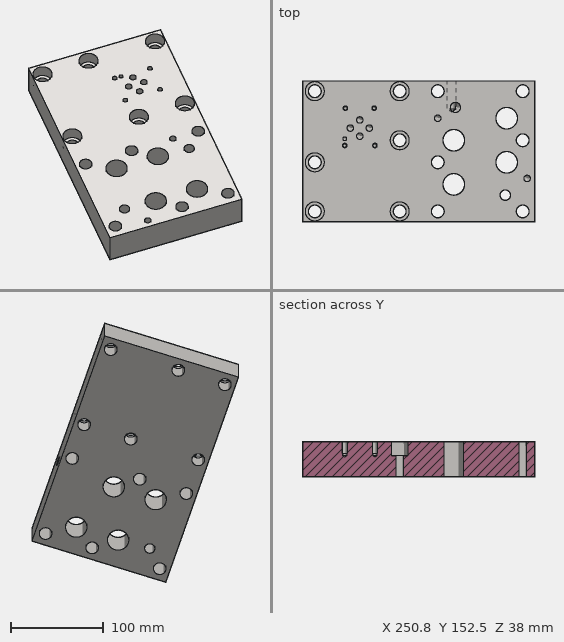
import cadquery as cq
import math

plate_length = 250.8
plate_width = 152.5
plate_height = 38.0

bolt_inner_x = 20.5
bolt_outer_x = 112.4
bolt_edge_y = 65.0
bolt_diameter = 13.5
counterbore_diameter = 20.5
counterbore_depth = 15.0

port_pitch_y = 23.8
main_port_left_x = 37.9
main_port_right_x = 95.0
main_port_diameter = 23.0
pilot_y = 47.5
pilot_blind_x = 39.6
pilot_through_x = 93.5
pilot_diameter = 11.0
pilot_depth = 18.8

cross_drill_x = 35.5
cross_drill_diameter = 9.8
cross_drill_end_y = 45.6

upper_pin_y = 1.5 * port_pitch_y
lower_pin_x = 117.1
lower_pin_y = -29.3
large_pin_diameter = 7.0
large_pin_depth = 10.0

small_valve_x = -63.7
small_port_y = 25.0
small_port_offset_x = 10.3
small_port_offset_y = 8.8
small_port_diameter = 7.0
small_port_depth = 20.0
screw_upper_y = 46.7
screw_lower_y = 6.3
screw_upper_offset_x = 15.5
screw_lower_offset_x = 16.3
screw_thread_diameter = 5.0
screw_drill_diameter = 4.0
screw_thread_depth = 12.5
screw_drill_depth = 15.0
small_pin_y = 13.5
small_pin_diameter = 4.0
small_pin_depth = 5.0

drill_point_angle = 118.0


def flat_hole(center, diameter, depth):
    """Flat-bottomed cylinder reaching down from the top face."""
    x, y = center
    bottom = cq.Vector(x, y, plate_height - depth)
    return cq.Workplane(obj=cq.Solid.makeCylinder(diameter / 2, depth, bottom))


def drill_point(base, direction, diameter):
    """Cone left by the drill tip, starting at base and pointing along direction."""
    radius = diameter / 2
    point_height = radius / math.tan(math.radians(drill_point_angle / 2))
    return cq.Workplane(obj=cq.Solid.makeCone(radius, 0, point_height, base, direction))


def drilled_hole(center, diameter, depth):
    """Cylinder down from the top face, ending in a drill point below the given depth."""
    x, y = center
    point_base = cq.Vector(x, y, plate_height - depth)
    return flat_hole(center, diameter, depth).union(drill_point(point_base, cq.Vector(0, 0, -1), diameter))


def through_holes(plate, centers, diameter):
    for center in centers:
        plate = plate.cut(flat_hole(center, diameter, plate_height))
    return plate


def drilled_holes(plate, centers, diameter, depth):
    for center in centers:
        plate = plate.cut(drilled_hole(center, diameter, depth))
    return plate


def bolt_pattern(left_x, right_x):
    """Three bolts per column; the middle ones sit one port pitch apart."""
    corners = [(x, y) for x in (left_x, right_x) for y in (-bolt_edge_y, bolt_edge_y)]
    middles = [(left_x, -port_pitch_y / 2), (right_x, port_pitch_y / 2)]
    return corners + middles


def add_mounting_bolts(plate):
    counterbored = bolt_pattern(-bolt_outer_x, -bolt_inner_x)
    plain = bolt_pattern(bolt_inner_x, bolt_outer_x)
    plate = through_holes(plate, counterbored + plain, bolt_diameter)
    for center in counterbored:
        plate = plate.cut(flat_hole(center, counterbore_diameter, counterbore_depth))
    return plate


def add_large_valve(plate):
    left_ports = [(main_port_left_x, port_pitch_y * step) for step in (0.5, -1.5)]
    right_ports = [(main_port_right_x, port_pitch_y * step) for step in (1.5, -0.5)]
    pins = [(bolt_inner_x, upper_pin_y), (lower_pin_x, lower_pin_y)]
    plate = through_holes(plate, left_ports + right_ports, main_port_diameter)
    plate = through_holes(plate, [(pilot_through_x, -pilot_y)], pilot_diameter)
    plate = drilled_holes(plate, [(pilot_blind_x, pilot_y)], pilot_diameter, pilot_depth)
    return drilled_holes(plate, pins, large_pin_diameter, large_pin_depth)


def add_cross_drill(plate):
    end = cq.Vector(cross_drill_x, cross_drill_end_y, plate_height / 2)
    length = plate_width / 2 - cross_drill_end_y
    bore = cq.Solid.makeCylinder(cross_drill_diameter / 2, length, end, cq.Vector(0, 1, 0))
    plate = plate.cut(cq.Workplane(obj=bore))
    return plate.cut(drill_point(end, cq.Vector(0, -1, 0), cross_drill_diameter))


def add_small_valve(plate):
    ports = [
        (small_valve_x - small_port_offset_x, small_port_y),
        (small_valve_x + small_port_offset_x, small_port_y),
        (small_valve_x, small_port_y - small_port_offset_y),
        (small_valve_x, small_port_y + small_port_offset_y),
    ]
    plate = drilled_holes(plate, ports, small_port_diameter, small_port_depth)

    screw_rows = [(screw_upper_offset_x, screw_upper_y), (screw_lower_offset_x, screw_lower_y)]
    for offset, y in screw_rows:
        for x in (small_valve_x - offset, small_valve_x + offset):
            plate = plate.cut(flat_hole((x, y), screw_thread_diameter, screw_thread_depth))
            plate = plate.cut(drilled_hole((x, y), screw_drill_diameter, screw_drill_depth))

    pin = (small_valve_x - screw_lower_offset_x, small_pin_y)
    return drilled_holes(plate, [pin], small_pin_diameter, small_pin_depth)


plate = cq.Workplane("XY").box(plate_length, plate_width, plate_height, centered=(True, True, False))
plate = add_mounting_bolts(plate)
plate = add_large_valve(plate)
plate = add_cross_drill(plate)
result = add_small_valve(plate)